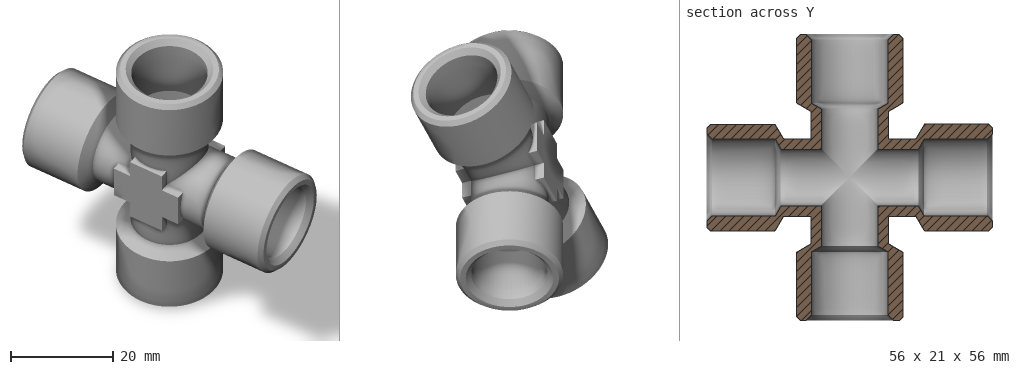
import cadquery as cq

span = 56.0
socket_diameter = 21.0
socket_length = 12.55
rim_chamfer = 0.85
neck_diameter = 15.3
shoulder_length = 1.7

through_diameter = 11.0
socket_bore_diameter = 14.95
mouth_diameter = 17.15
socket_bore_depth = 13.45
drill_cone_length = 1.1

pad_span = 14.95
pad_arm_width = 7.35
pad_thickness_across = 17.0

half_span = span / 2
socket_radius = socket_diameter / 2
neck_radius = neck_diameter / 2
through_radius = through_diameter / 2
bore_radius = socket_bore_diameter / 2
mouth_radius = mouth_diameter / 2
mouth_depth = mouth_radius - bore_radius

branch_angles = [0, 90, 180, 270]


def revolve_branch(profile):
    """Revolve a (radius, height) profile about Z."""
    return cq.Workplane("XZ").polyline(profile).close().revolve(360, (0, 0), (0, 1))


def around_centre(branch):
    """Join four copies of a branch, turned about Y."""
    joined = branch
    for angle in branch_angles[1:]:
        joined = joined.union(branch.rotate((0, 0, 0), (0, 1, 0), angle))
    return joined


def branch_body():
    socket_start = half_span - rim_chamfer - socket_length
    return revolve_branch([
        (0, 0),
        (neck_radius, 0),
        (neck_radius, socket_start - shoulder_length),
        (socket_radius, socket_start),
        (socket_radius, half_span - rim_chamfer),
        (socket_radius - rim_chamfer, half_span),
        (0, half_span),
    ])


def branch_bore():
    bore_bottom = half_span - socket_bore_depth
    return revolve_branch([
        (0, 0),
        (through_radius, 0),
        (through_radius, bore_bottom - drill_cone_length),
        (bore_radius, bore_bottom),
        (bore_radius, half_span - mouth_depth),
        (mouth_radius, half_span),
        (0, half_span),
    ])


def cross_pads():
    """Solid cross through the centre whose ends form both pads."""
    upright = cq.Workplane("XY").box(pad_arm_width, pad_thickness_across, pad_span)
    crossbar = cq.Workplane("XY").box(pad_span, pad_thickness_across, pad_arm_width)
    return upright.union(crossbar)


body = around_centre(branch_body()).union(cross_pads())
result = body.cut(around_centre(branch_bore()))